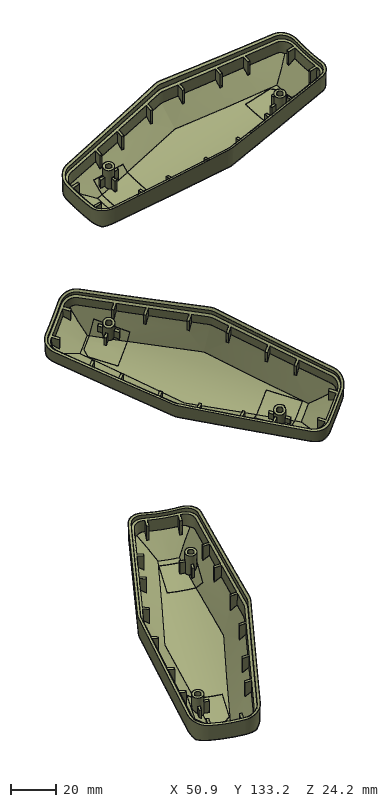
import cadquery as cq
import math

HALF_WIDTH = 25.455
HALF_LENGTH = 66.612
RIM_TOP = 24.18
RIM_MIDDLE = 18.0

RIM_RISE = RIM_TOP - RIM_MIDDLE
RIM_RADIUS = (HALF_WIDTH**2 + RIM_RISE**2) / (2 * RIM_RISE)

SIDE_ANGLE = 8.5
CORNER_RADIUS = 8.4
WAIST_RADIUS = 10.0
DRAFT = 1.3

LIP_THICKNESS = 1.35
WALL_THICKNESS = 2.65
LEDGE_MIDDLE = 16.0
LEDGE_RADIUS = 70.0

FLOOR_RADIUS = 73.3
FLOOR_THICKNESS = 2.0
OUTER_FLOOR_WAIST = 14.7
OUTER_FLOOR_TIP = 5.3
OUTER_FLOOR_LENGTH = 52.0
INNER_FLOOR_WAIST = 13.3
INNER_FLOOR_TIP = 4.8
INNER_FLOOR_LENGTH = 51.7
SIDE_SLOPE_WAIST = 1.0
SIDE_SLOPE_END = 0.8
END_SLOPE = 0.58

RIB_THICKNESS = 1.2
SIDE_RIBS = ((9.2, 18.3), (28.4, 15.3), (42.7, 13.3))
END_RIB_X = 7.5
END_RIB_TIP = 60.3

BOSS_X = 8.0
BOSS_Y = 42.7
BOSS_RADIUS = 2.7
BOSS_BORE_RADIUS = 1.45
BOSS_TOP = 14.4
FIN_DROP = 5.2
FIN_TOP = BOSS_TOP - FIN_DROP
FIN_REACH = 5.1
FIN_THICKNESS = 1.2
RECESS_X = (-5.1, 11.0)
RECESS_Y = (33.9, 50.8)
RECESS_KEY = 2.85
RECESS_SHIFT = 2.0
RECESS_DEPTH = 0.15

KEEL_OVERRUN = 2.0
CLEARANCE = 10.0


def arc_height(radius, x):
    """Rise of a circular arc at distance x from its lowest point."""
    return radius - math.sqrt(radius**2 - x**2)


def cylinder_above(middle_height, radius):
    """Cylinder along Y whose lowest line is at the given height."""
    return (
        cq.Workplane("XZ")
        .center(0, middle_height + radius)
        .circle(radius)
        .extrude(HALF_LENGTH + CLEARANCE, both=True)
    )


def outline_prism(inset):
    """Drafted prism over the rounded hexagon, with every wall moved inward by inset."""
    angle = math.radians(SIDE_ANGLE)
    draft_at_rim_top = RIM_RISE * math.tan(math.radians(DRAFT))
    length = HALF_LENGTH + draft_at_rim_top - inset
    blunting = WAIST_RADIUS * (1 / math.cos(angle) - 1)
    waist = HALF_WIDTH + blunting - inset / math.cos(angle)
    end = waist - length * math.tan(angle)
    right_half = [(end, -length), (waist, 0), (end, length)]
    left_half = [(-x, -y) for x, y in right_half]
    hexagon = right_half + left_half
    sketch = cq.Sketch().polygon(hexagon + hexagon[:1])
    sketch = sketch.vertices("<X or >X").fillet(WAIST_RADIUS - inset).reset()
    sketch = sketch.vertices(">Y or <Y").fillet(CORNER_RADIUS - inset).reset()
    plan = cq.Workplane("XY", origin=(0, 0, RIM_TOP)).placeSketch(sketch)
    return plan.extrude(-RIM_TOP - CLEARANCE, taper=DRAFT)


def trough(floor_z, radius, floor_length):
    """Everything above the curved floor and the two sloping end panels."""
    reach = HALF_LENGTH + CLEARANCE
    half_span = HALF_WIDTH + CLEARANCE
    edge_rise = arc_height(radius, half_span)

    def section(y, lift):
        bottom = floor_z + lift
        top = bottom + 2 * RIM_TOP
        return (
            cq.Workplane("XZ", origin=(0, y, 0))
            .moveTo(-half_span, bottom + edge_rise)
            .threePointArc((0, bottom), (half_span, bottom + edge_rise))
            .lineTo(half_span, top)
            .lineTo(-half_span, top)
            .close()
            .wire()
            .val()
        )

    end_lift = END_SLOPE * (reach - floor_length)
    sections = [
        section(-reach, end_lift),
        section(-floor_length, 0),
        section(floor_length, 0),
        section(reach, end_lift),
    ]
    return cq.Workplane(cq.Solid.makeLoft(sections, True))


def keel(floor_z, radius, floor_waist, floor_tip, floor_length):
    """Everything between the two pairs of twisted side panels."""
    end_x = floor_waist - (floor_waist - floor_tip) * HALF_LENGTH / floor_length
    waist_z = floor_z + arc_height(radius, floor_waist)
    tip_z = floor_z + arc_height(radius, floor_tip)
    end_z = waist_z - (waist_z - tip_z) * HALF_LENGTH / floor_length

    def section(y, x, z, slope):
        low_x = x - KEEL_OVERRUN
        low_z = z - KEEL_OVERRUN * slope
        high_x = HALF_WIDTH + CLEARANCE
        high_z = z + (high_x - x) * slope
        top = 2 * RIM_TOP
        corners = [(low_x, low_z), (high_x, high_z), (high_x, top)]
        mirrored = [(-px, pz) for px, pz in reversed(corners)]
        return cq.Workplane("XZ", origin=(0, y, 0)).polyline(corners + mirrored).close().wire().val()

    sections = [
        section(-HALF_LENGTH, end_x, end_z, SIDE_SLOPE_END),
        section(0, floor_waist, waist_z, SIDE_SLOPE_WAIST),
        section(HALF_LENGTH, end_x, end_z, SIDE_SLOPE_END),
    ]
    return cq.Workplane(cq.Solid.makeLoft(sections, True))


def hull(inset, floor_z, floor_waist, floor_tip, floor_length):
    """Closed boat shape: walls, side panels, end panels and floor."""
    radius = FLOOR_RADIUS - floor_z
    shape = outline_prism(inset).intersect(trough(floor_z, radius, floor_length))
    return shape.intersect(keel(floor_z, radius, floor_waist, floor_tip, floor_length))


def box_between(x_range, y_range, z_range):
    """Box from its limits along the three axes."""
    size = [high - low for low, high in (x_range, y_range, z_range)]
    corner = (x_range[0], y_range[0], z_range[0])
    return cq.Workplane("XY", origin=corner).box(*size, centered=False)


def wall_ribs():
    """Upright ribs from the wall inward, before trimming to the shell."""
    half = RIB_THICKNESS / 2
    height = (0, RIM_TOP)
    ribs = cq.Workplane("XY")
    for side in (-1, 1):
        for end in (-1, 1):
            for y, tip in SIDE_RIBS:
                x_range = sorted((side * tip, side * HALF_WIDTH))
                ribs = ribs.union(box_between(x_range, (end * y - half, end * y + half), height))
            x = side * END_RIB_X
            y_range = sorted((end * END_RIB_TIP, end * HALF_LENGTH))
            ribs = ribs.union(box_between((x - half, x + half), y_range, height))
    return ribs


def boss():
    """Tubular screw boss with fins along +Y, -Y and toward the middle of the part."""
    half = FIN_THICKNESS / 2
    y_range = (BOSS_Y - FIN_REACH, BOSS_Y + FIN_REACH)
    fins = box_between((BOSS_X - half, BOSS_X + half), y_range, (0, FIN_TOP))
    fins = fins.union(
        box_between((BOSS_X - FIN_REACH, BOSS_X), (BOSS_Y - half, BOSS_Y + half), (0, FIN_TOP))
    )
    axis = cq.Workplane("XY").center(BOSS_X, BOSS_Y)
    return fins.union(axis.circle(BOSS_RADIUS).extrude(BOSS_TOP)).cut(
        axis.circle(BOSS_BORE_RADIUS).extrude(BOSS_TOP)
    )


def turned(shape):
    """The same shape turned half a turn about Z."""
    return shape.rotate((0, 0, 0), (0, 0, 1), 180)


outer = hull(0, 0, OUTER_FLOOR_WAIST, OUTER_FLOOR_TIP, OUTER_FLOOR_LENGTH)
cavity = hull(
    WALL_THICKNESS, FLOOR_THICKNESS, INNER_FLOOR_WAIST, INNER_FLOOR_TIP, INNER_FLOOR_LENGTH
)
above_ledge = cylinder_above(LEDGE_MIDDLE, LEDGE_RADIUS)

lowered = cavity.translate((0, 0, -RECESS_DEPTH))
recess_box = box_between(RECESS_X, RECESS_Y, (0, BOSS_TOP))
keyed_box = recess_box.edges("|Z and <X and >Y").chamfer(RECESS_KEY)
shifted_box = turned(recess_box).translate((0, RECESS_SHIFT, 0))
recesses = lowered.intersect(keyed_box.union(shifted_box))
cavity = cavity.union(recesses)

fittings = wall_ribs().cut(above_ledge).union(boss()).union(turned(boss()))
hollow = cavity.cut(fittings)

result = outer.cut(hollow)
result = result.cut(outline_prism(LIP_THICKNESS).intersect(above_ledge))
result = result.cut(cylinder_above(RIM_MIDDLE, RIM_RADIUS))